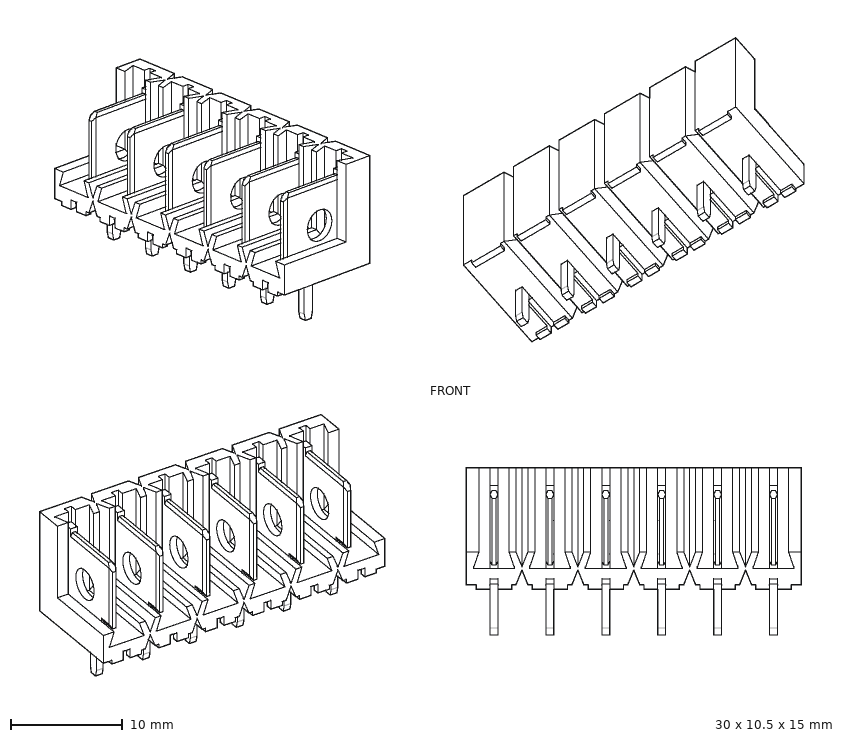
import cadquery as cq


cell_count = 6
housing_length = 30.0
pitch = housing_length / cell_count
housing_depth = 10.5
housing_height = 10.5
leg_thickness = 2.95
wall_front = housing_depth - leg_thickness

channel_depth = leg_thickness / 2
channel_mouth_width = 2.7
channel_bottom_width = 3.7
channel_floor = leg_thickness - channel_depth
channel_wall = wall_front + channel_depth

web_thickness = 0.3
groove_width = 1.05
groove_depth = (leg_thickness - web_thickness) / 2

foot_width = 3.18
foot_length = 0.63
foot_height = 0.4

blade_thickness = 0.72
blade_back = 9.7
riser_front = 8.7
riser_top = 8.88
tab_front = 2.05
tab_top = 8.43
tab_bottom = 1.77
tab_corner = 0.7
bevel_depth = 0.35
bevel_inset = 0.18
hole_diameter = 3.0
hole_y = 6.33
hole_z = 4.25
root_front = 3.63
root_bottom = 0.55

pin_front = 4.45
pin_width = 1.02
pin_back = pin_front + pin_width
overall_height = 15.0
pin_bottom = housing_height - overall_height
pin_taper_length = 0.65
pin_taper_inset = 0.15
gusset_height = 0.45
gusset_length = 0.3


def prism_along_y(points, y_start, y_end):
    """Extrude an (x, z) outline from y_start to y_end."""
    return cq.Workplane("XZ", origin=(0, y_start, 0)).polyline(points).close().extrude(y_start - y_end)


def prism_along_z(points, z_start, z_end):
    """Extrude an (x, y) outline from z_start to z_end."""
    return cq.Workplane("XY", origin=(0, 0, z_start)).polyline(points).close().extrude(z_end - z_start)


def side_plate(points, x_center, thickness):
    """Extrude a (y, z) outline symmetrically about x_center."""
    plane = cq.Workplane("YZ", origin=(x_center, 0, 0))
    return plane.polyline(points).close().extrude(thickness / 2, both=True)


def l_bar():
    outline = [
        (0, 0),
        (housing_depth, 0),
        (housing_depth, housing_height),
        (wall_front, housing_height),
        (wall_front, leg_thickness),
        (0, leg_thickness),
    ]
    return side_plate(outline, housing_length / 2, housing_length)


def channel_cut(x_center):
    mouth = channel_mouth_width / 2
    bottom = channel_bottom_width / 2

    def section(face, floor):
        return [
            (x_center - mouth, face),
            (x_center + mouth, face),
            (x_center + bottom, floor),
            (x_center - bottom, floor),
        ]

    in_base = prism_along_y(section(leg_thickness, channel_floor), 0, channel_wall)
    in_wall = prism_along_z(section(wall_front, channel_wall), channel_floor, housing_height)
    return in_base.union(in_wall)


def inner_groove_cut(x_center):
    """V groove in the inner faces, mitred where the base meets the wall."""
    half = groove_width / 2

    def section(face, apex, open_end):
        return [
            (x_center - half, face),
            (x_center, apex),
            (x_center + half, face),
            (x_center + half, open_end),
            (x_center - half, open_end),
        ]

    above_base = section(leg_thickness, leg_thickness - groove_depth, housing_height)
    before_wall = section(wall_front, wall_front + groove_depth, 0)
    return prism_along_y(above_base, 0, housing_depth).intersect(
        prism_along_z(before_wall, 0, housing_height)
    )


def outer_groove_cut(x_center):
    """V groove in the base underside and in the back of the wall."""
    half = groove_width / 2

    def section(face, apex):
        return [(x_center - half, face), (x_center, apex), (x_center + half, face)]

    in_base = prism_along_y(section(0, groove_depth), 0, housing_depth)
    in_wall = prism_along_z(section(housing_depth, housing_depth - groove_depth), 0, housing_height)
    return in_base.union(in_wall)


def feet(x_center):
    def foot(y_start):
        block = cq.Workplane("XY").box(foot_width, foot_length, foot_height, centered=(True, False, False))
        return block.translate((x_center, y_start, -foot_height))

    return foot(0).union(foot(housing_depth - foot_length))


def blade_frame(x_center):
    """Full-thickness riser, root and tapered pin of the blade."""
    taper_top = pin_bottom + pin_taper_length
    outline = [
        (root_front, tab_bottom + bevel_depth),
        (root_front, root_bottom),
        (pin_front - gusset_length, root_bottom),
        (pin_front, root_bottom - gusset_height),
        (pin_front, taper_top),
        (pin_front + pin_taper_inset, pin_bottom),
        (pin_back - pin_taper_inset, pin_bottom),
        (pin_back, taper_top),
        (pin_back, root_bottom),
        (blade_back, root_bottom),
        (blade_back, riser_top),
        (riser_front, riser_top),
        (riser_front, tab_bottom + bevel_depth),
    ]
    return side_plate(outline, x_center, blade_thickness)


def tab(x_center):
    """Flat tab with bevelled top, front and bottom edges and a cut upper front corner."""
    half = blade_thickness / 2
    tip = half - bevel_inset
    height_section = [
        (x_center - half, tab_bottom + bevel_depth),
        (x_center - tip, tab_bottom),
        (x_center + tip, tab_bottom),
        (x_center + half, tab_bottom + bevel_depth),
        (x_center + half, tab_top - bevel_depth),
        (x_center + tip, tab_top),
        (x_center - tip, tab_top),
        (x_center - half, tab_top - bevel_depth),
    ]
    plan_section = [
        (x_center - half, tab_front + bevel_depth),
        (x_center - tip, tab_front),
        (x_center + tip, tab_front),
        (x_center + half, tab_front + bevel_depth),
        (x_center + half, riser_front),
        (x_center - half, riser_front),
    ]
    corner = [
        (tab_front, tab_top - tab_corner),
        (tab_front + tab_corner, tab_top),
        (tab_front, tab_top),
    ]
    return (
        prism_along_y(height_section, tab_front, riser_front)
        .intersect(prism_along_z(plan_section, tab_bottom, tab_top))
        .cut(side_plate(corner, x_center, blade_thickness))
    )


def blade(x_center):
    hole = (
        cq.Workplane("YZ", origin=(x_center, 0, 0))
        .center(hole_y, hole_z)
        .circle(hole_diameter / 2)
        .extrude(blade_thickness, both=True)
    )
    return blade_frame(x_center).union(tab(x_center)).cut(hole)


def riser_slot(x_center):
    outline = [
        (channel_wall, channel_floor),
        (blade_back, channel_floor),
        (blade_back, housing_height),
        (channel_wall, housing_height),
    ]
    return side_plate(outline, x_center, blade_thickness)


def underside_slot(x_center):
    """Slot in the base underside from the front edge to the pin."""
    outline = [
        (0, -foot_height),
        (0, root_bottom),
        (pin_front, root_bottom),
        (pin_front, -foot_height),
    ]
    return side_plate(outline, x_center, blade_thickness)


cell_centers = [(index + 0.5) * pitch for index in range(cell_count)]
cell_borders = [index * pitch for index in range(1, cell_count)]

blades = [blade(x) for x in cell_centers]

housing = l_bar()
for x in cell_borders:
    housing = housing.cut(inner_groove_cut(x)).cut(outer_groove_cut(x))
for x, contact in zip(cell_centers, blades):
    housing = housing.union(feet(x)).cut(channel_cut(x))
    housing = housing.cut(riser_slot(x)).cut(underside_slot(x)).cut(contact)

result = cq.Compound.makeCompound([housing.val(), *[contact.val() for contact in blades]])